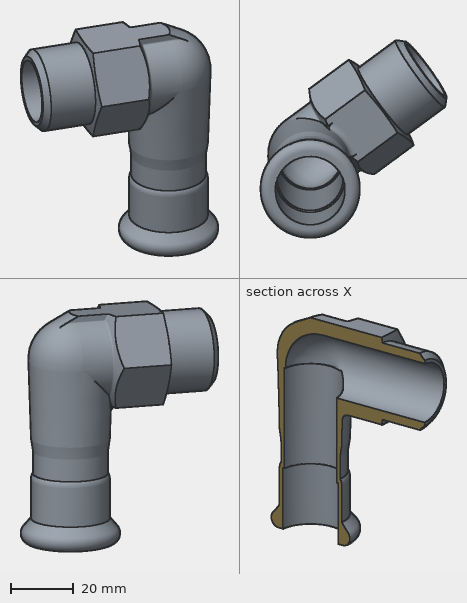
import cadquery as cq
import math


total_height = 75.0
hex_flats = 30.0
spigot_axis_z = total_height - hex_flats / 2
spigot_reach = 46.0
knuckle_radius = 13.5

bead_radius = 15.9
bead_round = 3.0
bead_cone_top_z = 7.95
socket_radius = 25.3 / 2
socket_shoulder_z = 20.85
neck_radius = 24.0 / 2
neck_bottom_z = 22.65
neck_top_z = 29.9
taper_bottom_z = 34.0

hex_rear_reach = 10.3
hex_rear_angle = 30.0
hex_front_reach = 29.0
hex_front_angle = 10.0
spigot_radius = 26.5 / 2
spigot_chamfer = 2.0

rib_width = 8.8
rib_overrun = 10.5
rib_hex_overlap = 7.5
small_fillet = 0.5

tolerance = 0.01

gusset_round = 2.0
gusset_top_width = 12.7
gusset_bottom_width = 10.4

spigot_bore_radius = 20.0 / 2
leg_bore_radius = 21.0 / 2
leg_bore_top_z = 55.3
bend_radius = spigot_axis_z - leg_bore_top_z
tube_bore_radius = 22.2 / 2


def revolve_about_leg(profile):
    """Turn a closed (radius, height) profile about the leg axis."""
    return profile.close().revolve(360, (0, 0, 0), (0, 1, 0))


def revolve_about_spigot(points):
    """Turn (radius, reach) points about the spigot axis, reach growing toward -Y."""
    profile = cq.Workplane("XY").polyline([(r, -reach) for r, reach in points]).close()
    return profile.revolve(360, (0, 0, 0), (0, 1, 0)).translate((0, 0, spigot_axis_z))


def spigot_cylinder(radius, reach):
    """Cylinder from the leg axis out to the given reach along -Y."""
    return cq.Workplane("XZ", origin=(0, 0, spigot_axis_z)).circle(radius).extrude(reach)


def leg_radius_at(z):
    """Outer radius of the tapered part of the leg."""
    share = (z - taper_bottom_z) / (spigot_axis_z - taper_bottom_z)
    return socket_radius + share * (knuckle_radius - socket_radius)


def socket_leg():
    round_center_r = bead_radius - bead_round
    offset_r = round_center_r - socket_radius
    offset_z = bead_cone_top_z - bead_round
    tangent = math.atan2(offset_z, -offset_r) - math.acos(bead_round / math.hypot(offset_r, offset_z))

    step = socket_radius - neck_radius
    rise = neck_bottom_z - socket_shoulder_z

    profile = (
        cq.Workplane("XZ")
        .lineTo(round_center_r, 0)
        .threePointArc(
            (bead_radius, bead_round),
            (
                round_center_r + bead_round * math.cos(tangent),
                bead_round + bead_round * math.sin(tangent),
            ),
        )
        .lineTo(socket_radius, bead_cone_top_z)
        .lineTo(socket_radius, socket_shoulder_z)
        .tangentArcPoint((-step, rise))
        .lineTo(neck_radius, neck_top_z)
        .lineTo(socket_radius, taper_bottom_z)
        .lineTo(knuckle_radius, spigot_axis_z)
        .lineTo(0, spigot_axis_z)
    )
    return revolve_about_leg(profile)


def hexagon():
    corner_radius = hex_flats / 2 / math.cos(math.pi / 6)
    prism = (
        cq.Workplane("XZ", origin=(0, 0, spigot_axis_z))
        .polygon(6, 2 * corner_radius)
        .extrude(hex_front_reach)
    )
    rear_set_back = (corner_radius - knuckle_radius) * math.tan(math.radians(hex_rear_angle))
    front_set_back = (corner_radius - spigot_radius) * math.tan(math.radians(hex_front_angle))
    envelope = revolve_about_spigot([
        (0, hex_rear_reach),
        (knuckle_radius, hex_rear_reach),
        (corner_radius, hex_rear_reach + rear_set_back),
        (corner_radius, hex_front_reach - front_set_back),
        (spigot_radius, hex_front_reach),
        (0, hex_front_reach),
    ])
    return prism.intersect(envelope)


def key_rib_bar():
    """Square-ended bar along the top of the head, running past the leg axis."""
    return (
        cq.Workplane("XZ", origin=(0, rib_overrun, spigot_axis_z))
        .rect(rib_width, hex_flats / 2, centered=(True, False))
        .extrude(rib_overrun + hex_rear_reach + rib_hex_overlap)
    )


def rib_end_envelope():
    """Cone about the spigot axis that trims the rib to a slope running out on the knuckle.

    It is tangent to the knuckle and meets the top hexagon flat straight above the leg axis.
    """
    angle = math.acos(knuckle_radius / (hex_flats / 2))
    tangent_radius = knuckle_radius * math.cos(angle)
    tangent_reach = -knuckle_radius * math.sin(angle)
    wide_radius = hex_flats
    wide_reach = tangent_reach + (wide_radius - tangent_radius) / math.tan(angle)
    return revolve_about_spigot([
        (0, tangent_reach),
        (tangent_radius, tangent_reach),
        (wide_radius, wide_reach),
        (wide_radius, spigot_reach),
        (0, spigot_reach),
    ])


def is_blend_edge(edge):
    """True for the hexagon root circle and the edges where the rib rises from the head."""
    box = edge.BoundingBox()
    on_root = box.ylen < tolerance and abs(box.ymax + hex_rear_reach) < tolerance
    on_rib_side = box.xlen < tolerance and abs(abs(box.xmin) - rib_width / 2) < tolerance
    rib_root_z = spigot_axis_z + math.sqrt(knuckle_radius**2 - (rib_width / 2) ** 2)
    behind_hexagon = box.ymin > -hex_rear_reach - tolerance
    is_rib_root = behind_hexagon and box.ylen > tolerance and box.zmax < rib_root_z + tolerance
    is_rib_corner = box.ymax < -hex_rear_reach + tolerance and box.zlen > small_fillet
    return on_root or (on_rib_side and (is_rib_root or is_rib_corner))


def head():
    """Knuckle, rib and hexagon, blended where the rib and hexagon rise from the barrel."""
    barrel = spigot_cylinder(knuckle_radius, hex_rear_reach + small_fillet)
    knuckle = cq.Workplane("XY", origin=(0, 0, spigot_axis_z)).sphere(knuckle_radius)
    blank = barrel.union(knuckle).union(hexagon()).union(key_rib_bar())
    blend_edges = [edge for edge in blank.edges().vals() if is_blend_edge(edge)]
    blended = blank.newObject(blend_edges).fillet(small_fillet)
    return blended.intersect(rib_end_envelope()).union(knuckle)


def gusset():
    """Concave round between the leg and the underside of the hexagon."""
    top_z = spigot_axis_z - hex_flats / 2
    bottom_z = top_z - gusset_round
    wall_radius = leg_radius_at(bottom_z)
    outer_radius = wall_radius + gusset_round
    mid_offset = gusset_round * (1 - math.sqrt(0.5))
    overlap = gusset_round / 2
    ring = revolve_about_leg(
        cq.Workplane("XZ")
        .moveTo(wall_radius - overlap, bottom_z)
        .lineTo(wall_radius, bottom_z)
        .threePointArc((wall_radius + mid_offset, top_z - mid_offset), (outer_radius, top_z))
        .lineTo(outer_radius, top_z + overlap)
        .lineTo(wall_radius - overlap, top_z + overlap)
    )
    side_slope = (gusset_top_width - gusset_bottom_width) / 2 / gusset_round
    half_top = gusset_top_width / 2 + side_slope * overlap
    half_bottom = gusset_bottom_width / 2
    wedge = (
        cq.Workplane("XZ")
        .polyline([
            (-half_bottom, bottom_z),
            (half_bottom, bottom_z),
            (half_top, top_z + overlap),
            (-half_top, top_z + overlap),
        ])
        .close()
        .extrude(hex_front_reach)
    )
    return ring.intersect(wedge)


def spigot():
    return spigot_cylinder(spigot_radius, spigot_reach).faces("<Y").chamfer(spigot_chamfer)


def bore_bend():
    """Quarter turn of the spigot bore about an axis that lies inside the bore."""
    half_chord = math.sqrt(spigot_bore_radius**2 - bend_radius**2)
    section = (
        cq.Workplane("XY", origin=(0, 0, leg_bore_top_z))
        .moveTo(-half_chord, -bend_radius)
        .threePointArc((0, spigot_bore_radius), (half_chord, -bend_radius))
        .close()
    )
    return section.revolve(90, (0, -bend_radius, 0), (1, -bend_radius, 0))


def bores():
    tube_bore = cq.Workplane("XY").circle(tube_bore_radius).extrude(socket_shoulder_z)
    leg_bore = cq.Workplane("XY").circle(leg_bore_radius).extrude(leg_bore_top_z)
    outlet = spigot_cylinder(spigot_bore_radius, spigot_reach - bend_radius).translate((0, -bend_radius, 0))
    return tube_bore.union(leg_bore).union(outlet).union(bore_bend())


result = head().union(socket_leg()).union(gusset()).union(spigot()).cut(bores())